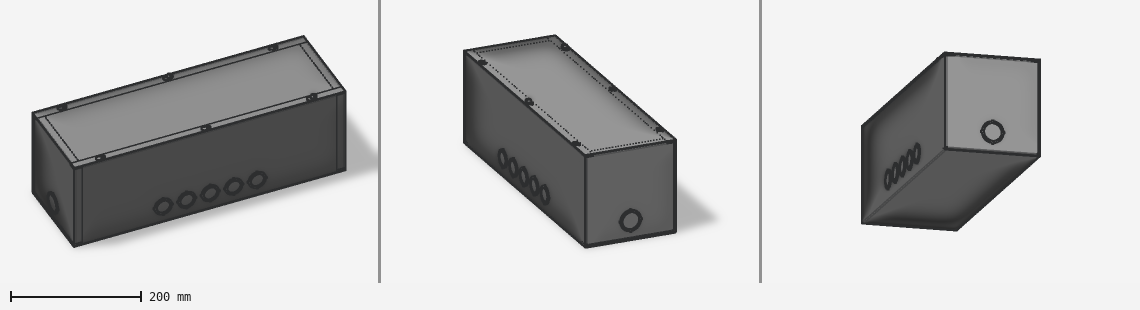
import cadquery as cq
import math


body_width = 152.5
body_length = 457.0
body_height = 152.5
sheet = 1.5

body_bend_radius = 2.5
top_flange_width = 14.5

pan_bend_radius = 2.8
pan_depth = 14.0
pan_floor_gap = 1.0
pan_half_width = body_width / 2 - sheet
pan_bottom = sheet + pan_floor_gap
pan_side_low = pan_bottom + pan_bend_radius
pan_side_high = body_height - pan_bend_radius

screw_x = 69.5
screw_pitch = 178.0
screw_rows = (-screw_pitch, 0, screw_pitch)
screw_hole_diameter = 4.5
shank_diameter = 4.35
head_diameter = 9.0
head_rounding = 2.5
head_height = 4.45
head_flange_diameter = 9.5
head_flange_height = 1.0
slot_width = 1.5
slot_depth = 2.0
fitted_screws = ((screw_x, screw_pitch), (-screw_x, 0))
keyhole_diameter = 9.5
keyhole_neck_width = 8.0
keyhole_offset = 6.5

knockout_height = 2.0
groove_depth = 0.5
groove_width = 0.55
lug_diameter = 3.0
lug_reach = 1.6
lugs_per_knockout = 4
side_knockout_diameter = 29.0
side_groove_diameter = 22.5
side_knockout_z = 32.0
side_knockout_pitch = 39.5
side_knockout_count = 5
end_knockout_diameter = 34.5
end_groove_diameter = 28.5
end_knockout_z = 33.0


def knockout(plane, diameter, groove_diameter):
    """Raised disc on a plane, with rounded lugs round its rim and a shallow ring groove in its face."""
    lug_circle = diameter / 2 + lug_reach - lug_diameter / 2
    disc = cq.Workplane(plane).circle(diameter / 2).extrude(knockout_height)
    lugs = (
        cq.Workplane(plane)
        .polarArray(lug_circle, 0, 360, lugs_per_knockout)
        .circle(lug_diameter / 2)
        .extrude(knockout_height)
    )
    groove = (
        cq.Workplane(plane)
        .workplane(offset=knockout_height - groove_depth)
        .circle(groove_diameter / 2)
        .circle(groove_diameter / 2 - groove_width)
        .extrude(groove_depth)
    )
    return disc.union(lugs).cut(groove)


def make_body():
    """Floor, two side walls and two inward top flanges, folded from one sheet."""
    outside = (
        cq.Workplane("XY")
        .box(body_width, body_length, body_height, centered=(True, True, False))
        .edges("|Y")
        .fillet(body_bend_radius)
    )
    inside = (
        cq.Workplane("XY", origin=(0, 0, sheet))
        .box(body_width - 2 * sheet, body_length, body_height - 2 * sheet, centered=(True, True, False))
        .edges("|Y")
        .fillet(body_bend_radius - sheet)
    )
    top_opening = cq.Workplane("XY", origin=(0, 0, body_height / 2)).box(
        body_width - 2 * top_flange_width, body_length, body_height, centered=(True, True, False)
    )
    screw_holes = (
        cq.Workplane("XY", origin=(0, 0, body_height - sheet))
        .pushPoints([(side * screw_x, y) for side in (-1, 1) for y in screw_rows])
        .circle(screw_hole_diameter / 2)
        .extrude(sheet)
    )
    body = outside.cut(inside).cut(top_opening).cut(screw_holes)
    for side in (-1, 1):
        for index in range(side_knockout_count):
            y = (index - (side_knockout_count - 1) / 2) * side_knockout_pitch
            wall_plane = cq.Plane((side * body_width / 2, y, side_knockout_z), (0, 1, 0), (side, 0, 0))
            body = body.union(knockout(wall_plane, side_knockout_diameter, side_groove_diameter))
    return body


def pan_lip(plane, width):
    """Bend and flange along one pan edge. On the plane, x is outward from the edge and y is into the box."""
    inner_radius = pan_bend_radius - sheet
    mid_bend = math.sqrt(0.5)
    return (
        cq.Workplane(plane)
        .moveTo(0, 0)
        .threePointArc(
            (pan_bend_radius * mid_bend, pan_bend_radius * (1 - mid_bend)),
            (pan_bend_radius, pan_bend_radius),
        )
        .lineTo(pan_bend_radius, pan_depth)
        .lineTo(inner_radius, pan_depth)
        .lineTo(inner_radius, pan_bend_radius)
        .threePointArc(
            (inner_radius * mid_bend, pan_bend_radius - inner_radius * mid_bend),
            (0, sheet),
        )
        .close()
        .extrude(width / 2, both=True)
    )


def make_pan(end):
    """End plate with four lips turned into the box and open corners; end is -1 or 1 along Y."""
    face_y = -body_length / 2
    plate_half_width = pan_half_width - pan_bend_radius
    plate_height = pan_side_high - pan_side_low
    plate_middle = (pan_side_low + pan_side_high) / 2
    pan = cq.Workplane("XY", origin=(0, face_y + sheet / 2, plate_middle)).box(
        2 * plate_half_width, sheet, plate_height
    )
    for side in (-1, 1):
        side_edge = cq.Plane((side * plate_half_width, face_y, plate_middle), (side, 0, 0), (0, 0, side))
        pan = pan.union(pan_lip(side_edge, plate_height))
    bottom_edge = cq.Plane((0, face_y, pan_side_low), (0, 0, -1), (1, 0, 0))
    pan = pan.union(pan_lip(bottom_edge, 2 * plate_half_width))
    top_edge = cq.Plane((0, face_y, pan_side_high), (0, 0, 1), (-1, 0, 0))
    pan = pan.union(pan_lip(top_edge, body_width - 2 * top_flange_width))
    knockout_plane = cq.Plane((0, face_y, end_knockout_z), (1, 0, 0), (0, -1, 0))
    pan = pan.union(knockout(knockout_plane, end_knockout_diameter, end_groove_diameter))
    if end > 0:
        pan = pan.mirror("XZ")
    return pan


def make_cover():
    """Flat sheet on top of the body, with a keyhole over every screw hole."""
    cover = cq.Workplane("XY", origin=(0, 0, body_height)).box(
        body_width, body_length, sheet, centered=(True, True, False)
    )
    for x in (-screw_x, screw_x):
        for y in screw_rows:
            base = cq.Workplane("XY", origin=(x, y, body_height))
            neck = base.circle(keyhole_neck_width / 2).extrude(sheet)
            throat = base.center(0, -keyhole_offset / 2).rect(keyhole_neck_width, keyhole_offset).extrude(sheet)
            entry = base.center(0, -keyhole_offset).circle(keyhole_diameter / 2).extrude(sheet)
            cover = cover.cut(neck).cut(throat).cut(entry)
    return cover


def make_screw(x, y):
    """Slotted screw with a domed, flanged head on the cover and its shank reaching the underside of the top flange."""
    head_base = body_height + sheet
    shank = (
        cq.Workplane("XY", origin=(x, y, body_height - sheet)).circle(shank_diameter / 2).extrude(2 * sheet)
    )
    head = (
        cq.Workplane("XY", origin=(x, y, head_base))
        .circle(head_diameter / 2)
        .extrude(head_height)
        .faces(">Z")
        .edges()
        .fillet(head_rounding)
    )
    flange = (
        cq.Workplane("XY", origin=(x, y, head_base)).circle(head_flange_diameter / 2).extrude(head_flange_height)
    )
    slot = cq.Workplane("XY", origin=(x, y, head_base + head_height - slot_depth)).box(
        head_diameter, slot_width, slot_depth, centered=(True, True, False)
    )
    return head.cut(slot).union(flange).union(shank)


body = make_body()
pans = [make_pan(end) for end in (-1, 1)]
cover = make_cover()
screws = [make_screw(x, y) for x, y in fitted_screws]

result = cq.Compound.makeCompound(
    [body.val(), *[pan.val() for pan in pans], cover.val(), *[screw.val() for screw in screws]]
)